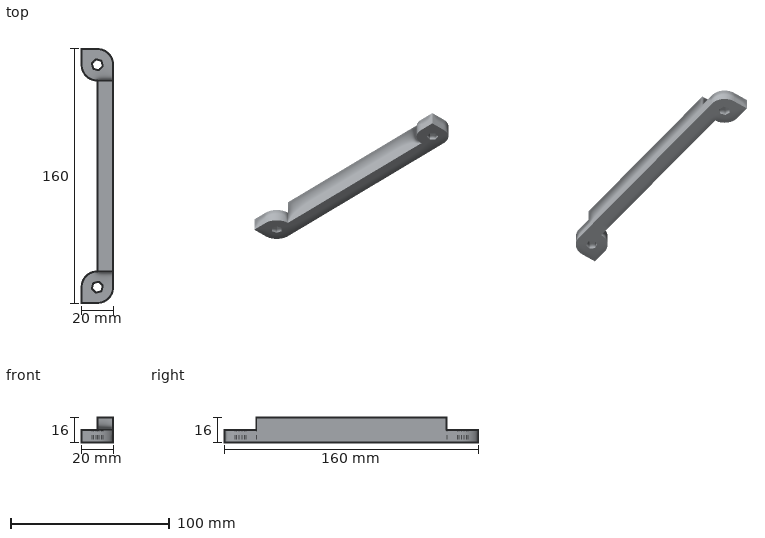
import cadquery as cq
import math

length = 160.0
tab_size = 20.0
bar_height = 16.0

bar_width = tab_size / 2
tab_thickness = bar_height / 2
bar_length = length - 2 * tab_size
tab_offset = (length - tab_size) / 2

hex_corner_diameter = 7.0
hex_rotation = -15.0


def make_tab():
    """Tab at the +Y end: a square with two opposite corners rounded and a hexagonal hole."""
    half = tab_size / 2
    arc_point = half * math.sqrt(0.5)
    outline = (
        cq.Workplane("XY")
        .moveTo(-half, half)
        .lineTo(0, half)
        .threePointArc((arc_point, arc_point), (half, 0))
        .lineTo(half, -half)
        .lineTo(0, -half)
        .threePointArc((-arc_point, -arc_point), (-half, 0))
        .close()
    )
    tab = outline.extrude(tab_thickness)
    hole = (
        cq.Workplane("XY")
        .polygon(6, hex_corner_diameter)
        .extrude(tab_thickness)
        .rotate((0, 0, 0), (0, 0, 1), hex_rotation)
    )
    return tab.cut(hole).translate((0, tab_offset, 0))


bar = cq.Workplane("XY").box(bar_width, bar_length, bar_height, centered=(False, True, False))

end_tab = make_tab()
result = bar.union(end_tab).union(end_tab.mirror("XZ"))